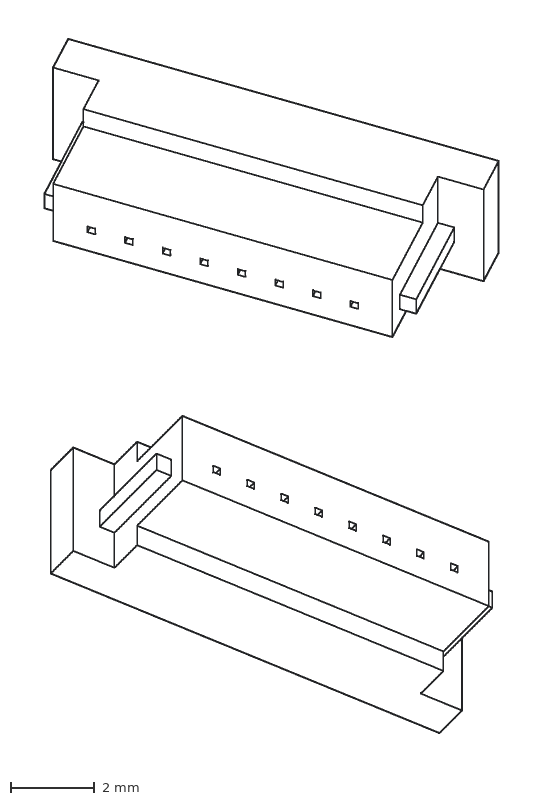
import cadquery as cq

flange_width = 11.0
flange_height = 3.21
flange_depth = 1.0

shoulder_width = 8.67
shoulder_depth = 1.0

plug_depth = 2.0
plug_height = 2.0

rib_span = 9.5
rib_height = 0.51
rib_length = 2.51
rib_center_z = 1.34

hole_count = 8
hole_row_length = 6.72
hole_size = 0.2
hole_center_z = 1.35

hole_pitch = hole_row_length / (hole_count - 1)
overall_depth = flange_depth + shoulder_depth + plug_depth
shoulder_front_y = plug_depth
flange_front_y = shoulder_front_y + shoulder_depth


def block(width, depth, height, front_y, center_z):
    """Box centred on X, running back from front_y and centred on center_z."""
    return (
        cq.Workplane("XY")
        .box(width, depth, height, centered=(True, False, True))
        .translate((0, front_y, center_z))
    )


def contact_holes():
    """Row of square through-hole cutters along X."""
    cutter = block(hole_size, overall_depth, hole_size, 0, hole_center_z)
    first_x = -hole_row_length / 2
    holes = cq.Workplane("XY")
    for index in range(hole_count):
        holes = holes.add(cutter.translate((first_x + index * hole_pitch, 0, 0)))
    return holes.combine()


middle_z = flange_height / 2
flange = block(flange_width, flange_depth, flange_height, flange_front_y, middle_z)
shoulder = block(shoulder_width, shoulder_depth, flange_height, shoulder_front_y, middle_z)
plug = block(shoulder_width, plug_depth, plug_height, 0, middle_z)

ribs = block(rib_span, rib_length, rib_height, flange_front_y - rib_length, rib_center_z)

result = flange.union(shoulder).union(plug).union(ribs).cut(contact_holes())